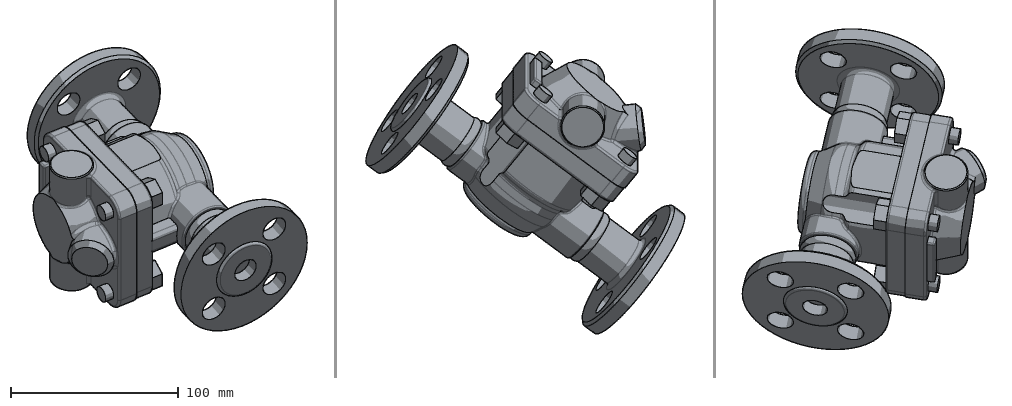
import cadquery as cq
import math


LENGTH = 175.0
FLANGE_DIA = 89.0
FLANGE_THICK = 9.6
FLANGE_CHAMFER = 1.8
RAISED_FACE_DIA = 38.8
RAISED_FACE_HEIGHT = 1.5
BOLT_HOLE_DIA = 16.0
BOLT_HOLE_PITCH = 42.7
BORE_DIA = 15.0
BORE_DEPTH = 7.5
PIPE_DIA = 32.0
PIPE_FILLET = 3.0
BEAD_DIA = 34.1
BEAD_WIDTH = 5.6
HUB_DIA = 36.0
HUB_HALF_LENGTH = 45.7
HUB_ROUND = 0.9
HUB_FILLET = 1.4

BODY_X = -6.1
CAP_RADIUS = 25.2
CAP_Y = 22.2
CAP_ROUND = 3.5
CAP_BASE_Y = 16.8
NECK_ANGLE = 30.0
SHOULDER_RADIUS = 30.6
SHOULDER_Y = 7.7
BARREL_RADIUS = 32.5
STEP_Y = -4.5
SKIRT_RADIUS = 35.9
SKIRT_Y = -10.5
PANEL_HALF_WIDTH = 13.6
SIDE_RIB_END_X = 39.2
SIDE_RIB_THICK = 13.3
SIDE_RIB_Y = -14.0
SIDE_RIB_ROUND = 2.8

JOINT_X = -3.0
JOINT_Y = -46.4
BODY_PLATE_SIDE = 84.5
BODY_PLATE_THICK = 11.9
COVER_SIDE = 85.4
COVER_THICK = 12.8
PLATE_ROUND = 1.4
STUD_PITCH = 63.9
STUD_DIA = 10.0
STUD_LENGTH = 5.6
NUT_FLATS = 16.3
NUT_HEIGHT = 7.7
SPOT_FACE_RADIUS = 12.0

DOME_END_RADIUS = 22.2
DOME_BASE_RADIUS = 28.9
DOME_END_Y = -76.6
CONE_OVERRUN = 7.0
COVER_FILLET = 1.8
PLUG_FILLET = 2.8
BOSS_DIA = 26.2
BOSS_LENGTH = 89.2
BOSS_CHAMFER = 0.7
PLUG_DIA = 28.2
PLUG_FACE_DIA = 22.0
PLUG_LENGTH = 31.5
PLUG_ANGLE = 45.0
PLUG_FACE_X = 31.3
PLUG_FACE_Y = -74.4
TAG_X = -39.5
TAG_WIDTH = 6.0
TAG_LENGTH = 40.2
TAG_HEIGHT = 4.7
TAG_ROUND = 1.0

TOLERANCE = 0.02

BODY_PLATE_Y = JOINT_Y + BODY_PLATE_THICK
COVER_Y = JOINT_Y - COVER_THICK
CORNER_RADIUS = (COVER_SIDE - STUD_PITCH) / 2
STUD_POINTS = [
    (JOINT_X + sx * STUD_PITCH / 2, sz * STUD_PITCH / 2) for sx in (-1, 1) for sz in (-1, 1)
]


def plane_y(y, x=0.0):
    """Sketch plane facing -Y; its local axes are X and Z."""
    return cq.Workplane("XZ", origin=(x, y, 0))


def fillet_where(solid, radius, is_wanted):
    """Fillet the edges of the solid that satisfy the given test."""
    wanted = [edge for edge in solid.edges().vals() if is_wanted(edge)]
    return solid.newObject(wanted).fillet(radius)


def is_crossing(edge):
    """True for the curve where two turned shapes cross."""
    return edge.geomType() == "BSPLINE"


def pipe_end():
    """Flange, pipe, weld bead and hub of the -X end, turned about the pipe axis."""
    end_x = -LENGTH / 2
    front_x = end_x + RAISED_FACE_HEIGHT
    back_x = front_x + FLANGE_THICK
    flange_r = FLANGE_DIA / 2
    face_r = RAISED_FACE_DIA / 2
    pipe_r = PIPE_DIA / 2
    hub_x = -HUB_HALF_LENGTH
    bead_x = hub_x - BEAD_WIDTH
    quarter = math.sqrt(0.5)
    end = (
        cq.Workplane("XY")
        .moveTo(end_x, 0)
        .lineTo(end_x, face_r - RAISED_FACE_HEIGHT)
        .radiusArc((front_x, face_r), RAISED_FACE_HEIGHT)
        .lineTo(front_x, flange_r)
        .lineTo(back_x - FLANGE_CHAMFER, flange_r)
        .lineTo(back_x, flange_r - FLANGE_CHAMFER)
        .lineTo(back_x, pipe_r + PIPE_FILLET)
        .threePointArc(
            (back_x + PIPE_FILLET * (1 - quarter), pipe_r + PIPE_FILLET * (1 - quarter)),
            (back_x + PIPE_FILLET, pipe_r),
        )
        .lineTo(bead_x, pipe_r)
        .threePointArc((hub_x - BEAD_WIDTH / 2, BEAD_DIA / 2), (hub_x, pipe_r))
        .lineTo(hub_x, HUB_DIA / 2 - HUB_ROUND)
        .radiusArc((hub_x + HUB_ROUND, HUB_DIA / 2), HUB_ROUND)
        .lineTo(0, HUB_DIA / 2)
        .lineTo(0, 0)
        .close()
        .revolve(360, (0, 0, 0), (1, 0, 0))
    )
    bolt_holes = (
        cq.Workplane("YZ", origin=(end_x, 0, 0))
        .rect(BOLT_HOLE_PITCH, BOLT_HOLE_PITCH, forConstruction=True)
        .vertices()
        .circle(BOLT_HOLE_DIA / 2)
        .extrude(RAISED_FACE_HEIGHT + FLANGE_THICK)
    )
    bore = cq.Workplane("YZ", origin=(end_x, 0, 0)).circle(BORE_DIA / 2).extrude(BORE_DEPTH)
    return end.cut(bolt_holes).cut(bore)


def cap():
    """Round end cap on the +Y side of the body."""
    return (
        plane_y(CAP_Y, BODY_X)
        .circle(CAP_RADIUS)
        .extrude(CAP_Y - CAP_BASE_Y)
        .faces(">Y")
        .edges()
        .fillet(CAP_ROUND)
    )


def barrel():
    """Conical neck, barrel and wider skirt in one turned shape, filleted where the hub crosses it."""
    neck_angle = math.radians(NECK_ANGLE)
    neck_top_y = CAP_Y + CAP_ROUND
    neck_top_radius = SHOULDER_RADIUS - (neck_top_y - SHOULDER_Y) * math.tan(neck_angle)
    barrel_y = SHOULDER_Y - (BARREL_RADIUS - SHOULDER_RADIUS) / math.tan(neck_angle / 2)
    mid_step = ((BARREL_RADIUS + SKIRT_RADIUS) / 2, (STEP_Y + SKIRT_Y) / 2)
    turned = (
        cq.Workplane("XY", origin=(BODY_X, 0, 0))
        .moveTo(0, neck_top_y)
        .lineTo(neck_top_radius, neck_top_y)
        .lineTo(SHOULDER_RADIUS, SHOULDER_Y)
        .tangentArcPoint((BARREL_RADIUS, barrel_y), relative=False)
        .lineTo(BARREL_RADIUS, STEP_Y)
        .tangentArcPoint(mid_step, relative=False)
        .tangentArcPoint((SKIRT_RADIUS, SKIRT_Y), relative=False)
        .lineTo(SKIRT_RADIUS, JOINT_Y)
        .lineTo(0, JOINT_Y)
        .close()
        .revolve(360, (0, 0, 0), (0, 1, 0))
    )
    hub_end_x = HUB_HALF_LENGTH - HUB_ROUND
    hub_plane = cq.Plane(origin=(-hub_end_x, 0, 0), xDir=(0, 1, 0), normal=(1, 0, 0))
    hub = cq.Workplane(hub_plane).circle(HUB_DIA / 2).extrude(2 * hub_end_x)
    return fillet_where(turned.union(hub), HUB_FILLET, is_crossing)


def panel_cut():
    """Cut that leaves a flat panel on the +Z side of the skirt."""
    panel_z = math.sqrt(SKIRT_RADIUS**2 - PANEL_HALF_WIDTH**2)
    return (
        cq.Workplane("XY", origin=(BODY_X, BODY_PLATE_Y, panel_z))
        .rect(2 * PANEL_HALF_WIDTH, 2 * (STEP_Y - BODY_PLATE_Y))
        .extrude(SKIRT_RADIUS)
    )


def spot_face_cuts():
    """Round channels along Y that clear the two nuts close to the barrel."""
    near_points = [point for point in STUD_POINTS if point[0] < BODY_X]
    return plane_y(CAP_Y).pushPoints(near_points).circle(SPOT_FACE_RADIUS).extrude(CAP_Y - BODY_PLATE_Y)


def side_rib():
    """Narrow rib on the +X side of the skirt, from the hub down to the plate."""
    length = SIDE_RIB_END_X - BODY_X
    return (
        plane_y(SIDE_RIB_Y, BODY_X + length / 2)
        .rect(length, SIDE_RIB_THICK)
        .extrude(SIDE_RIB_Y - JOINT_Y)
        .edges("|Y and >X")
        .fillet(SIDE_RIB_ROUND)
    )


def square_plate(y, side, thickness):
    """Square plate with round corners, running from y toward -Y."""
    return (
        plane_y(y, JOINT_X)
        .rect(side, side)
        .extrude(thickness)
        .edges("|Y")
        .fillet(CORNER_RADIUS)
    )


def fasteners():
    """Stud ends on the cover and hexagon nuts on the body side, corners toward +Z and -Z."""
    shapes = plane_y(COVER_Y).pushPoints(STUD_POINTS).circle(STUD_DIA / 2).extrude(STUD_LENGTH)
    corner_dia = NUT_FLATS / math.cos(math.pi / 6)
    for x, z in STUD_POINTS:
        nut_plane = cq.Plane(origin=(x, BODY_PLATE_Y, z), xDir=(0, 0, 1), normal=(0, 1, 0))
        shapes = shapes.union(cq.Workplane(nut_plane).polygon(6, corner_dia).extrude(NUT_HEIGHT))
    return shapes


def plug():
    """Chamfered cylindrical plug, leaning from the cover toward +X and -Y."""
    angle = math.radians(PLUG_ANGLE)
    axis = (math.cos(angle), -math.sin(angle), 0)
    base = (PLUG_FACE_X - PLUG_LENGTH * axis[0], PLUG_FACE_Y - PLUG_LENGTH * axis[1], 0)
    chamfer = (PLUG_DIA - PLUG_FACE_DIA) / 2
    return (
        cq.Workplane(cq.Plane(origin=base, xDir=(0, 0, 1), normal=axis))
        .circle(PLUG_DIA / 2)
        .extrude(PLUG_LENGTH)
        .faces(cq.selectors.DirectionMinMaxSelector(cq.Vector(*axis)))
        .chamfer(chamfer)
    )


def dome_and_bosses():
    """Conical dome crossed by the vertical bosses; the cone runs on past its end face."""
    slope = (DOME_BASE_RADIUS - DOME_END_RADIUS) / (COVER_Y - DOME_END_Y)
    cone_end_y = DOME_END_Y - CONE_OVERRUN
    dome = (
        cq.Workplane("XY", origin=(BODY_X, 0, 0))
        .moveTo(0, JOINT_Y)
        .lineTo(DOME_BASE_RADIUS + slope * COVER_THICK, JOINT_Y)
        .lineTo(DOME_END_RADIUS - slope * CONE_OVERRUN, cone_end_y)
        .lineTo(0, cone_end_y)
        .close()
        .revolve(360, (0, 0, 0), (0, 1, 0))
    )
    boss_base = (BODY_X, DOME_END_Y + BOSS_DIA / 2, -BOSS_LENGTH / 2)
    bosses = (
        cq.Workplane(cq.Plane(origin=boss_base, xDir=(0, 1, 0), normal=(0, 0, 1)))
        .circle(BOSS_DIA / 2)
        .extrude(BOSS_LENGTH)
        .faces("<Z or >Z")
        .chamfer(BOSS_CHAMFER)
    )
    return dome.union(bosses)


def is_plug_root(edge):
    """True for the curve where the plug leaves the dome, beyond the bosses in +X."""
    return is_crossing(edge) and edge.Center().x > BODY_X + BOSS_DIA / 2


def is_cover_root(edge):
    """True where the dome, bosses or plug rise from the cover plate."""
    box = edge.BoundingBox()
    centre = edge.Center()
    reach_x = abs(centre.x - JOINT_X)
    reach_z = abs(centre.z)
    inner = COVER_SIDE / 2 - CORNER_RADIUS / 2
    on_front = box.ylen < TOLERANCE and abs(centre.y - COVER_Y) < TOLERANCE
    on_rim = COVER_SIDE / 2 - PLATE_ROUND - TOLERANCE < reach_z < COVER_SIDE / 2 + TOLERANCE
    under_boss = abs(centre.x - BODY_X) < BOSS_DIA / 2 and box.ylen > TOLERANCE
    return (on_front and max(reach_x, reach_z) < inner) or (on_rim and under_boss)


def cover():
    """Cover plate with its dome, bosses, plug and tag."""
    plate = square_plate(JOINT_Y, COVER_SIDE, COVER_THICK)
    plate = plate.faces("<Y").edges().fillet(PLATE_ROUND)
    raised = fillet_where(dome_and_bosses(), COVER_FILLET, is_crossing)
    raised = fillet_where(raised.union(plug()), PLUG_FILLET, is_plug_root)
    shape = fillet_where(plate.union(raised), COVER_FILLET, is_cover_root)
    overrun = plane_y(DOME_END_Y, BODY_X).circle(DOME_BASE_RADIUS).extrude(2 * CONE_OVERRUN)
    shape = shape.cut(overrun).union(plug())
    tag = (
        plane_y(COVER_Y, TAG_X)
        .rect(TAG_WIDTH, TAG_LENGTH)
        .extrude(TAG_HEIGHT)
        .edges("|Y or <Y")
        .fillet(TAG_ROUND)
    )
    return shape.union(tag)


def body():
    """Cap, barrel, side rib and the square plate that carries the cover."""
    plate = square_plate(BODY_PLATE_Y, BODY_PLATE_SIDE, BODY_PLATE_THICK)
    plate = plate.faces(">Y").edges().fillet(PLATE_ROUND)
    neck_overrun = plane_y(2 * CAP_Y, BODY_X).circle(2 * CAP_RADIUS).extrude(2 * CAP_Y - HUB_DIA / 2)
    shell = barrel().cut(neck_overrun).union(cap()).cut(spot_face_cuts()).cut(panel_cut())
    return shell.union(side_rib()).union(plate)


ends = pipe_end().union(pipe_end().mirror("YZ"))
result = body().union(ends).union(cover()).union(fasteners())